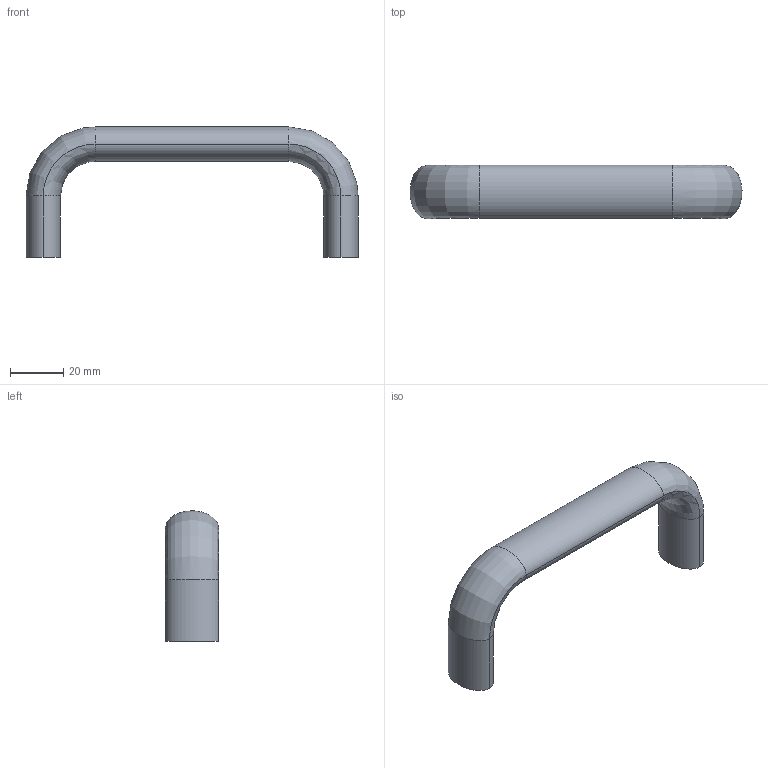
import cadquery as cq

leg_spacing = 112.0
height = 49.0
bar_thickness = 13.0
bar_depth = 20.0
inner_bend_radius = 13.0

bend_radius = inner_bend_radius + bar_thickness / 2
half_spacing = leg_spacing / 2
centreline_top = height - bar_thickness / 2
leg_length = centreline_top - bend_radius


def handle_centreline():
    """U-shaped path from the foot of one leg to the foot of the other."""
    return (
        cq.Workplane("XZ")
        .moveTo(-half_spacing, 0)
        .lineTo(-half_spacing, leg_length)
        .radiusArc((-half_spacing + bend_radius, centreline_top), bend_radius)
        .lineTo(half_spacing - bend_radius, centreline_top)
        .radiusArc((half_spacing, leg_length), bend_radius)
        .lineTo(half_spacing, 0)
    )


def bar_section():
    """Elliptical foot outline, split into two halves at the front and back of the bar."""
    thickness_radius = bar_thickness / 2
    depth_radius = bar_depth / 2
    front, back, front_again = -90, 90, 270
    return (
        cq.Workplane("XY")
        .moveTo(-half_spacing, -depth_radius)
        .ellipseArc(thickness_radius, depth_radius, front, back, startAtCurrent=True)
        .ellipseArc(thickness_radius, depth_radius, back, front_again, startAtCurrent=True)
        .close()
    )


result = bar_section().sweep(handle_centreline())